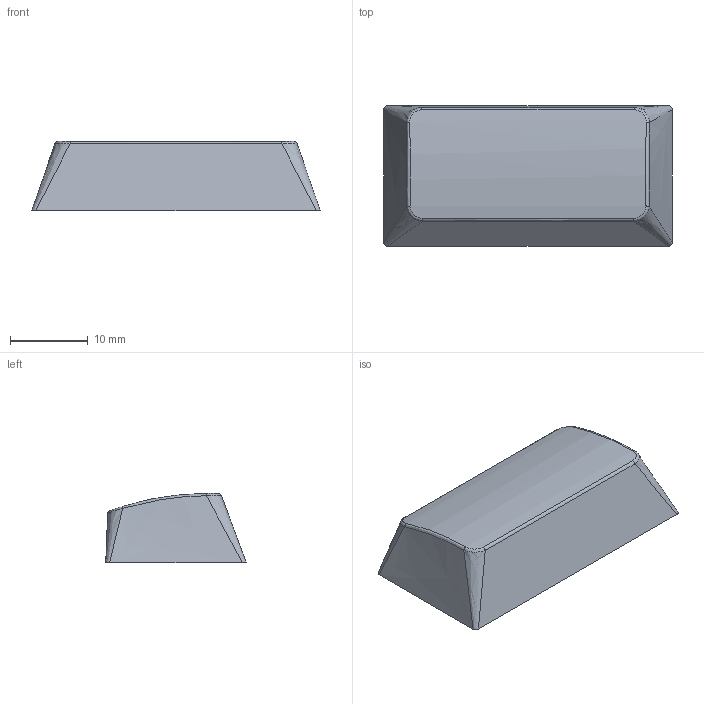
import cadquery as cq
import math

base_length = 37.15
base_width = 18.1
base_corner_radius = 0.5

top_side_inset = 3.075
top_front_inset = 3.3
top_back_inset = 0.25
top_corner_radius = 2.0

crown_height = 8.92
crown_peak_y = -4.2
crown_radius = 37.6
rim_fillet = 0.45

angle_margin = math.radians(5)

top_length = base_length - 2 * top_side_inset
top_width = base_width - top_front_inset - top_back_inset
top_center_y = (top_front_inset - top_back_inset) / 2


def rounded_outline(length, width, radius, center_y):
    """Rounded rectangle on the ground plane, centred on X = 0."""
    outline = cq.Sketch().rect(length, width).vertices().fillet(radius)
    return cq.Workplane("XY").center(0, center_y).placeSketch(outline)


def make_base_face():
    """Footprint on the ground plane, facing up so that its outline runs the same way as the crown's."""
    block = rounded_outline(base_length, base_width, base_corner_radius, 0).extrude(-crown_height)
    return block.faces(">Z").val()


def make_crown_face():
    """Typing surface: the rounded rectangle projected up onto the crown cylinder."""
    column = rounded_outline(top_length, top_width, top_corner_radius, top_center_y).extrude(crown_height)
    crown = (
        cq.Workplane("YZ")
        .center(crown_peak_y, crown_height - crown_radius)
        .circle(crown_radius)
        .extrude(base_length / 2, both=True)
    )
    return column.intersect(crown).faces(">Z").val()


def edges_by_direction(face):
    """Outline edges of a face, counter-clockwise from the middle of the +X side."""
    middle = face.BoundingBox().center

    def direction(edge):
        point = edge.positionAt(0.5)
        angle = math.atan2(point.y - middle.y, point.x - middle.x)
        return (angle + angle_margin) % math.tau

    return sorted(face.outerWire().Edges(), key=direction)


def make_body():
    """Solid closed by the base, the crown and ruled walls between their matching edges."""
    base_face = make_base_face()
    crown_face = make_crown_face()
    faces = [base_face, crown_face]
    for low, high in zip(edges_by_direction(base_face), edges_by_direction(crown_face)):
        faces.append(cq.Face.makeRuledSurface(low, high))
    return cq.Solid.makeSolid(cq.Shell.makeShell(faces)).fix()


def round_rim(body):
    """Round the edge between the walls and the typing surface."""
    return cq.Workplane("XY").add(body).faces(">Z").edges().fillet(rim_fillet)


result = round_rim(make_body())